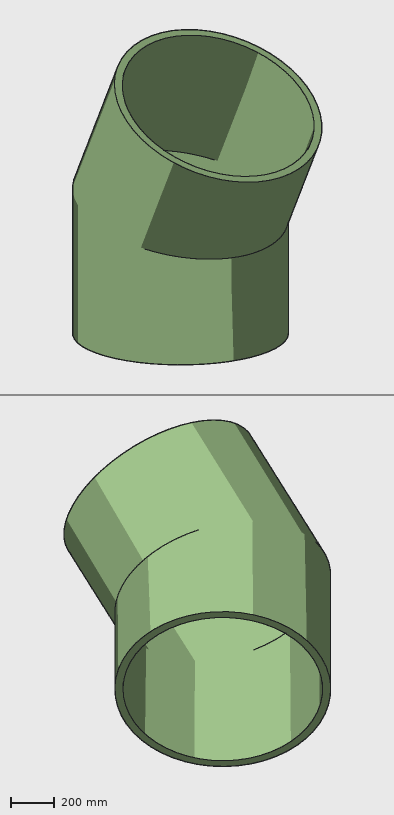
import cadquery as cq
import math

overall_height = 1433.0
outer_diameter = 1000.0
inner_diameter = 925.0
bend_angle = math.radians(30)

long_side = overall_height / (1 + math.cos(bend_angle))
mitre_rise = outer_diameter / 2 * math.tan(bend_angle / 2)
leg_length = long_side - mitre_rise

mitre_centre = (0, 0, leg_length)
mitre_normal = (math.sin(bend_angle / 2), 0, math.cos(bend_angle / 2))
outer_radius = outer_diameter / 2

leg_profile = [
    (-outer_radius, 0),
    (outer_radius, 0),
    (outer_radius, leg_length - mitre_rise),
    (-outer_radius, long_side),
]


def lower_leg():
    """Vertical pipe standing on the XY plane, its top cut along the mitre."""
    pipe = (
        cq.Workplane("XY")
        .circle(outer_radius)
        .circle(inner_diameter / 2)
        .extrude(long_side)
    )
    keep = cq.Workplane("XZ").polyline(leg_profile).close().extrude(outer_diameter, both=True)
    return pipe.intersect(keep)


def upper_leg(lower):
    """Mirror image of the lower leg across the mitre plane."""
    mitre_plane = cq.Plane(origin=mitre_centre, xDir=(0, 1, 0), normal=mitre_normal)
    local = lower.val().moved(cq.Location(mitre_plane).inverse)
    return local.mirror("XY").moved(cq.Location(mitre_plane))


lower = lower_leg()
result = lower.union(cq.Workplane(upper_leg(lower)))